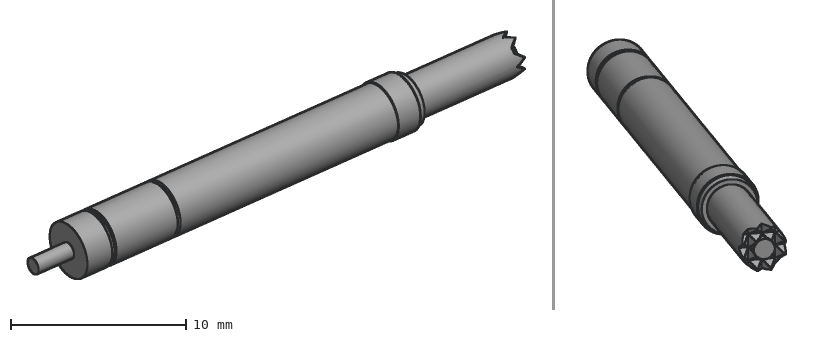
import cadquery as cq

total_length = 34.5
rear_end = -total_length / 2
front_end = total_length / 2
barrel_rear = rear_end + 2.55
barrel_front = front_end - 7.52

pin_radius = 0.52
barrel_radius = 1.75
collar_radius = 1.83
plunger_radius = 1.35

collar_front = barrel_front - 0.4
collar_rear = collar_front - 1.6
nose_base_radius = barrel_radius
nose_tip_radius = 1.65

crimps = [(1.8, 0.25, 0.3), (6.52, 0.1, 0.2)]
crimp_depth = 0.1

groove_depth = 0.6
groove_pitch = 0.8
grooves_each_way = 3
groove_floor = front_end - groove_depth
post_radius = 0.62
quarter_turns = (0, 90, 180, 270)


def turned(*profile):
    """Solid of revolution about the Y axis from (radius, station) points."""
    return cq.Workplane("XY").polyline(profile).close().revolve(360, (0, 0, 0), (0, 1, 0))


def cylinder(radius, start, end):
    """Solid cylinder on the Y axis from the start station to the end station."""
    return turned((0, start), (radius, start), (radius, end), (0, end))


def barrel():
    """Rear pin, crimped barrel, collar and tapered nose."""
    body = cylinder(pin_radius, rear_end, barrel_rear)
    body = body.union(cylinder(barrel_radius, barrel_rear, collar_rear))
    body = body.union(cylinder(collar_radius, collar_rear, collar_front))
    nose = turned(
        (0, collar_front),
        (nose_base_radius, collar_front),
        (nose_tip_radius, barrel_front),
        (0, barrel_front),
    )
    body = body.union(nose)
    for offset, deepest, width in crimps:
        rear_edge = barrel_rear + offset
        crimp = turned(
            (barrel_radius, rear_edge),
            (barrel_radius - crimp_depth, rear_edge + deepest),
            (barrel_radius, rear_edge + width),
        )
        body = body.cut(crimp)
    return body


def groove_set():
    """Parallel V grooves along Z, side by side so that they meet in sharp ridges."""
    half_pitch = groove_pitch / 2
    cutter = cq.Workplane("XY")
    for index in range(grooves_each_way):
        middle = (index - (grooves_each_way - 1) / 2) * groove_pitch
        profile = [
            (middle - half_pitch, front_end),
            (middle, groove_floor),
            (middle + half_pitch, front_end),
        ]
        groove = cq.Workplane("XY").polyline(profile).close().extrude(plunger_radius, both=True)
        cutter = cutter.add(groove)
    return cutter.combine()


def corner_cut():
    """Cutter that clears the plunger wall between the outer grooves of the two sets."""
    cutter = cq.Workplane("XY", origin=(groove_pitch, groove_floor, groove_pitch))
    return cutter.box(plunger_radius, groove_depth, plunger_radius, centered=False)


def plunger():
    """Plunger with eight pointed teeth round a post, left between two crossed groove sets."""
    body = cylinder(plunger_radius, barrel_front, front_end)
    grooves = groove_set()
    body = body.cut(grooves)
    body = body.cut(grooves.rotate((0, 0, 0), (0, 1, 0), quarter_turns[1]))
    for angle in quarter_turns:
        body = body.cut(corner_cut().rotate((0, 0, 0), (0, 1, 0), angle))
    post = cylinder(post_radius, groove_floor, front_end)
    return body.union(post)


result = barrel().union(plunger())